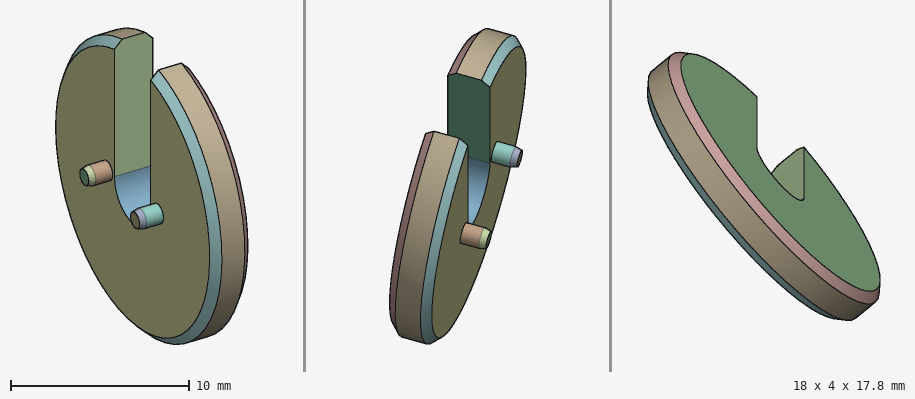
import cadquery as cq

disc_diameter = 17.99
disc_thickness = 2.5
rim_chamfer = 0.5

slot_width = 4.0

pin_diameter = 1.2
pin_length = 1.5
pin_spacing = 5.6
pin_tip_length = 0.4
pin_tip_inset = 0.1


def make_disc():
    """Disc from Y = 0 back to Y = disc_thickness, chamfered on both rims."""
    disc = cq.Workplane("XZ").circle(disc_diameter / 2).extrude(-disc_thickness)
    return disc.edges().chamfer(rim_chamfer)


def make_slot():
    """Cutter for the open slot, through the full disc thickness."""
    half_width = slot_width / 2
    slot_top = disc_diameter / 2
    return (
        cq.Workplane("XZ")
        .moveTo(-half_width, slot_top)
        .lineTo(-half_width, 0)
        .threePointArc((0, -half_width), (half_width, 0))
        .lineTo(half_width, slot_top)
        .close()
        .extrude(-disc_thickness)
    )


def make_pin(x):
    """Pin with a tapered tip, rooted inside the disc for a solid joint.

    The slot only just clears the pin, so the root stays beside it.
    """
    radius = pin_diameter / 2
    tip_radius = radius - pin_tip_inset
    taper_start = pin_length - pin_tip_length
    root_depth = disc_thickness / 2
    profile = (
        cq.Workplane("XY")
        .moveTo(0, root_depth)
        .lineTo(radius, root_depth)
        .lineTo(radius, -taper_start)
        .lineTo(tip_radius, -pin_length)
        .lineTo(0, -pin_length)
        .close()
    )
    return profile.revolve(360, (0, 0, 0), (0, 1, 0)).translate((x, 0, 0))


result = make_disc().cut(make_slot())
for side in (-1, 1):
    result = result.union(make_pin(side * pin_spacing / 2))